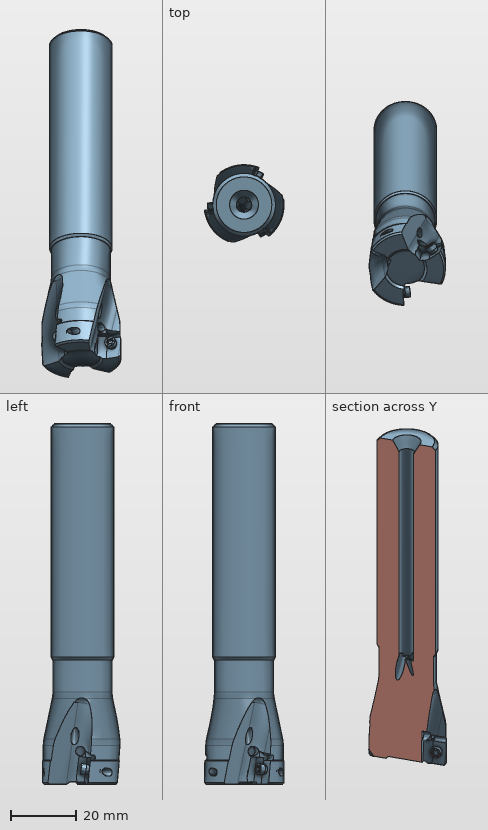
import cadquery as cq
import math


total_length = 110.2
shank_radius = 9.6
shank_bottom = 38.9
shank_bevel_radial = 0.4
shank_bevel_axial = 0.9
top_chamfer = 1.1
neck_radius = 9.0
head_radius = 12.0
band_radius = 12.2
band_height = 7.2
bottom_chamfer = 0.5
cone_top = 27.2
cone_bottom = 12.9
cone_blend = 1.05

center_cone_radius = 4.4
center_cone_half_angle = 30.0
bore_radius = 2.3
bore_bottom = 35.3
coolant_radius = 1.2
coolant_start = (0.2, -1.3, 36.4)
coolant_exit = (7.7, -2.4, 12.3)
coolant_overrun = 3.3
end_recess_radius = 6.6
end_recess_depth = 0.8
end_recess_taper = 45.0

tooth_angles = [60, 180, 300]
rake_angle = 7.0
seat_offset = 1.5

flute_radius = 4.3
flute_seam = (8.8, -1.4, 25.0)
flute_lean_out = 0.17
flute_lean_back = 0.14
flute_face_angle = 15.0
flute_reach = 22.0
flute_length = 33.1

pocket_inner = 5.1
seat_inner = 7.7
pocket_bevel = 1.1
pocket_top = 8.2
pocket_front = 3.6
pocket_overrun = 1.1
pocket_outer = 15.4
relief_radius = 0.83
relief_depth = 0.5
corner_hole_radius = 1.4
corner_hole_v = -0.7
corner_hole_z = 10.1
corner_hole_inner = 5.3

screw_u = 9.5
screw_z = 4.4
screw_radius = 1.2
screw_shank_length = 3.3
screw_hole_length = 13.2
screw_head_radius = 1.7
screw_head_height = 1.5
screw_stand_off = 2.5
socket_radius = 0.9
socket_lobe_radius = 0.28
socket_lobes = 6
socket_depth = 0.9


def turned_body():
    """Shank, neck, cone and head as one turned shape."""
    taper = math.atan2(head_radius - neck_radius, cone_top - cone_bottom)
    blend_r = cone_blend * math.sin(taper)
    blend_z = cone_blend * math.cos(taper)
    return (
        cq.Workplane("XZ")
        .moveTo(0, 0)
        .lineTo(band_radius - bottom_chamfer, 0)
        .lineTo(band_radius, bottom_chamfer)
        .lineTo(band_radius, band_height)
        .lineTo(head_radius, band_height + band_radius - head_radius)
        .lineTo(head_radius, cone_bottom - cone_blend)
        .tangentArcPoint((head_radius - blend_r, cone_bottom + blend_z), relative=False)
        .lineTo(neck_radius + blend_r, cone_top - blend_z)
        .tangentArcPoint((neck_radius, cone_top + cone_blend), relative=False)
        .lineTo(neck_radius, shank_bottom - shank_bevel_axial)
        .lineTo(shank_radius - shank_bevel_radial, shank_bottom - shank_bevel_axial)
        .lineTo(shank_radius, shank_bottom)
        .lineTo(shank_radius, total_length - top_chamfer)
        .lineTo(shank_radius - top_chamfer, total_length)
        .lineTo(0, total_length)
        .close()
        .revolve(360, (0, 0, 0), (0, 1, 0))
    )


def bore():
    """Central bore with a conical mouth."""
    cone_depth = (center_cone_radius - bore_radius) / math.tan(math.radians(center_cone_half_angle))
    return (
        cq.Workplane("XZ")
        .moveTo(0, bore_bottom)
        .lineTo(bore_radius, bore_bottom)
        .lineTo(bore_radius, total_length - cone_depth)
        .lineTo(center_cone_radius, total_length)
        .lineTo(0, total_length)
        .close()
        .revolve(360, (0, 0, 0), (0, 1, 0))
    )


def end_recess():
    """Shallow round hollow in the cutting end."""
    return cq.Workplane("XY").circle(end_recess_radius).extrude(end_recess_depth, taper=end_recess_taper)


def flute():
    """Flat-sided flute with a rounded root and a ball-shaped upper end."""
    along = cq.Vector(flute_lean_out, flute_lean_back, 1)
    face = math.radians(flute_face_angle)
    face_slope = -flute_lean_out * math.cos(face) - flute_lean_back * math.sin(face)
    outward = cq.Vector(math.cos(face), math.sin(face), face_slope).normalized()
    ball_center = cq.Vector(*flute_seam) + outward * flute_radius
    plane = cq.Plane(origin=ball_center, xDir=outward, normal=along)
    root_mid = flute_radius * math.sqrt(0.5)
    channel = (
        cq.Workplane(plane)
        .moveTo(-flute_radius, -flute_reach)
        .lineTo(-flute_radius, 0)
        .threePointArc((-root_mid, root_mid), (0, flute_radius))
        .lineTo(flute_reach, flute_radius)
        .lineTo(flute_reach, -flute_reach)
        .close()
        .extrude(-flute_length)
    )
    return channel.union(cq.Workplane(plane).sphere(flute_radius))


def seat_plane(u, z):
    """Plane lying on the raked seat at (u, z); its normal points forward, out of the seat."""
    rake = math.radians(rake_angle)
    origin = (u, seat_offset + z * math.tan(rake), z)
    return cq.Plane(origin=origin, xDir=(1, 0, 0), normal=(0, -math.cos(rake), math.sin(rake)))


def insert_pocket():
    """Raked pocket with a bevelled inner corner, with rounded reliefs and a hole along its top."""
    rake = math.radians(rake_angle)
    floor = cq.Plane(
        origin=(0, seat_offset, 0), xDir=(1, 0, 0), normal=(0, math.sin(rake), math.cos(rake))
    )
    pocket = (
        cq.Workplane(floor)
        .workplane(offset=-pocket_overrun)
        .moveTo(pocket_inner, -pocket_front)
        .lineTo(pocket_inner, -pocket_bevel)
        .lineTo(seat_inner, 0)
        .lineTo(pocket_outer, 0)
        .lineTo(pocket_outer, -pocket_front)
        .close()
        .extrude(pocket_top + pocket_overrun)
    )
    relief_v = seat_offset + pocket_top * math.tan(rake)
    relief = (
        cq.Workplane("YZ", origin=(seat_inner, 0, 0))
        .center(relief_v, pocket_top)
        .slot2D(2 * (relief_depth + relief_radius), 2 * relief_radius)
        .extrude(pocket_outer - seat_inner)
    )
    corner_hole = (
        cq.Workplane("YZ", origin=(corner_hole_inner, 0, 0))
        .center(corner_hole_v, corner_hole_z)
        .circle(corner_hole_radius)
        .extrude(pocket_outer - corner_hole_inner)
    )
    drop = corner_hole_z - pocket_top
    shift = relief_v - corner_hole_v
    channel_length = math.hypot(shift, drop) + 2 * relief_radius
    channel_slope = math.degrees(math.atan2(drop, shift))
    channel = (
        cq.Workplane("YZ", origin=(seat_inner, 0, 0))
        .center((relief_v + corner_hole_v) / 2, (pocket_top + corner_hole_z) / 2)
        .slot2D(channel_length, 2 * relief_radius, -channel_slope)
        .extrude(pocket_outer - seat_inner)
    )
    return pocket.union(relief).union(corner_hole).union(channel)


def screw_hole():
    """Hole through the tooth, square to its seat."""
    return cq.Workplane(seat_plane(screw_u, screw_z)).circle(screw_radius).extrude(-screw_hole_length)


def coolant_hole():
    """Steep hole from the foot of the bore out into the flute."""
    start = cq.Vector(*coolant_start)
    direction = cq.Vector(*coolant_exit) - start
    plane = cq.Plane(origin=start, normal=direction)
    return cq.Workplane(plane).circle(coolant_radius).extrude(direction.Length + coolant_overrun)


def screw():
    """Screw with a countersunk head standing clear of the seat and a six-lobed socket."""
    head_edge = screw_stand_off - screw_head_height
    blank = (
        cq.Workplane("XZ")
        .moveTo(0, -screw_shank_length)
        .lineTo(screw_radius, -screw_shank_length)
        .lineTo(screw_radius, 0)
        .lineTo(screw_head_radius, head_edge)
        .lineTo(screw_head_radius, screw_stand_off)
        .lineTo(0, screw_stand_off)
        .close()
        .revolve(360, (0, 0, 0), (0, 1, 0))
    )
    top = cq.Workplane("XY", origin=(0, 0, screw_stand_off))
    socket = top.circle(socket_radius).extrude(-socket_depth)
    lobes = (
        top.polarArray(socket_radius, 0, 360, socket_lobes)
        .circle(socket_lobe_radius)
        .extrude(-socket_depth)
    )
    solid = blank.cut(socket.union(lobes)).solids().val()
    return solid.moved(seat_plane(screw_u, screw_z).location)


def turned_to(shape, angle):
    """Shape turned about the tool axis."""
    return shape.rotate((0, 0, 0), (0, 0, 1), angle)


body = turned_body().cut(bore()).cut(end_recess())
tooth_cuts = [flute(), insert_pocket(), screw_hole(), coolant_hole()]
for angle in tooth_angles:
    for tooth_cut in tooth_cuts:
        body = body.cut(turned_to(tooth_cut, angle))

screws = [turned_to(screw(), angle) for angle in tooth_angles]

result = cq.Compound.makeCompound([body.solids().val(), *screws])